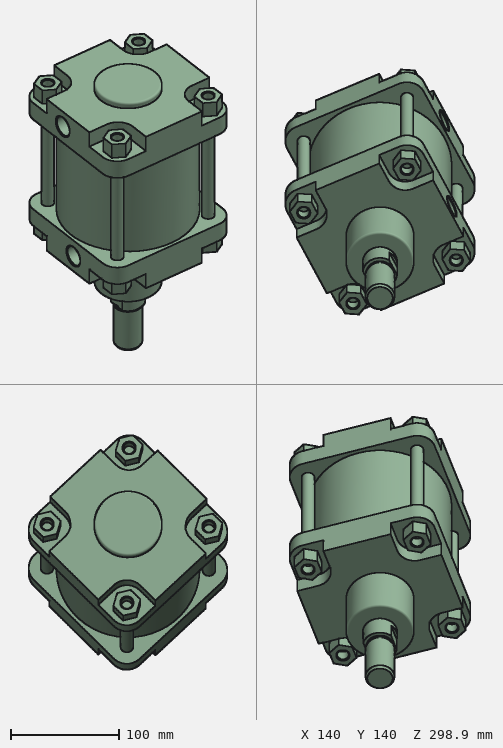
import cadquery as cq
import math


COVER_SIDE = 140.0
TIE_ROD_OFFSET = 53.0
COVER_CORNER_RADIUS = COVER_SIDE / 2 - TIE_ROD_OFFSET
FLANGE_THICKNESS = 19.0
NOTCH_DEPTH = 16.5
COVER_THICKNESS = FLANGE_THICKNESS + NOTCH_DEPTH
NOTCH_INNER_OFFSET = 32.5
NOTCH_FILLET = 17.0

BOSS_DIAMETER = 62.8
BOSS_ROUNDING = 2.0
FRONT_BOSS_LENGTH = 49.0
REAR_BOSS_LENGTH = 6.0

PORT_DIAMETER = 19.5
PORT_CHAMFER = 1.0
PORT_DEPTH = 33.0
PORT_OFFSET = 8.0
PORT_FROM_OUTER_FACE = 17.3

BARREL_DIAMETER = 132.8
BARREL_LENGTH = 103.2

TIE_ROD_DIAMETER = 12.0
NUT_ACROSS_FLATS = 22.5
NUT_ACROSS_CORNERS = NUT_ACROSS_FLATS / math.cos(math.pi / 6)
NUT_HEIGHT = 15.5
NUT_BORE_DIAMETER = 10.8
NUT_BORE_CHAMFER = 1.0
NUT_BORE_DEPTH = 12.0

COLLAR_DIAMETER = 32.0
FLATS_WIDTH = 27.0
THREAD_DIAMETER = 27.0
NECK_DIAMETER = 25.0
THREAD_TOP = 45.5
NECK_LENGTH = 3.0
FLATS_LENGTH = 15.2
ROUND_COLLAR_LENGTH = 6.0
TIP_CHAMFER_HEIGHT = 2.7
TIP_CHAMFER_WIDTH = 1.8

COLLAR_BOTTOM = THREAD_TOP + NECK_LENGTH
ROD_TOP = COLLAR_BOTTOM + FLATS_LENGTH + ROUND_COLLAR_LENGTH
FRONT_COVER_OUTER = ROD_TOP + FRONT_BOSS_LENGTH
BARREL_BOTTOM = FRONT_COVER_OUTER + COVER_THICKNESS
BARREL_TOP = BARREL_BOTTOM + BARREL_LENGTH

CORNER_SIGNS = [(x, y) for x in (-1, 1) for y in (-1, 1)]


def chamfered_hole_cutter(diameter, depth, chamfer):
    """Hole cutter that opens upward at z = 0 and widens at the mouth."""
    radius = diameter / 2
    return (
        cq.Workplane("XZ")
        .moveTo(0, 0)
        .lineTo(radius + chamfer, 0)
        .lineTo(radius, -chamfer)
        .lineTo(radius, -depth)
        .lineTo(0, -depth)
        .close()
        .revolve(360, (0, 0), (0, 1))
    )


def make_cover(boss_length, port_x):
    """End cover with its inner face at z = 0 and its boss pointing up."""
    cover = (
        cq.Workplane("XY")
        .rect(COVER_SIDE, COVER_SIDE)
        .extrude(COVER_THICKNESS)
        .edges("|Z")
        .fillet(COVER_CORNER_RADIUS)
    )

    notch_side = COVER_SIDE - 2 * NOTCH_INNER_OFFSET
    notches = (
        cq.Workplane("XY", origin=(0, 0, FLANGE_THICKNESS))
        .pushPoints([(x * COVER_SIDE / 2, y * COVER_SIDE / 2) for x, y in CORNER_SIGNS])
        .rect(notch_side, notch_side)
        .extrude(NOTCH_DEPTH)
        .edges("|Z")
        .fillet(NOTCH_FILLET)
    )
    cover = cover.cut(notches)

    boss = (
        cq.Workplane("XY", origin=(0, 0, COVER_THICKNESS))
        .circle(BOSS_DIAMETER / 2)
        .extrude(boss_length)
        .faces(">Z")
        .edges()
        .fillet(BOSS_ROUNDING)
    )
    cover = cover.union(boss)

    tie_rod_holes = (
        cq.Workplane("XY")
        .pushPoints([(x * TIE_ROD_OFFSET, y * TIE_ROD_OFFSET) for x, y in CORNER_SIGNS])
        .circle(TIE_ROD_DIAMETER / 2)
        .extrude(FLANGE_THICKNESS)
    )
    cover = cover.cut(tie_rod_holes)

    port = chamfered_hole_cutter(PORT_DIAMETER, PORT_DEPTH, PORT_CHAMFER)
    port = port.rotate((0, 0, 0), (1, 0, 0), 90)
    port_z = COVER_THICKNESS - PORT_FROM_OUTER_FACE
    return cover.cut(port.translate((port_x, -COVER_SIDE / 2, port_z)))


def make_rear_cover():
    """Upper cover with a short boss, its port left of the axis."""
    return make_cover(REAR_BOSS_LENGTH, -PORT_OFFSET).translate((0, 0, BARREL_TOP))


def make_front_cover():
    """Cover turned over about Y, so its port stays in the -Y face on the other side of the axis."""
    cover = make_cover(FRONT_BOSS_LENGTH, -PORT_OFFSET)
    return cover.rotate((0, 0, 0), (0, 1, 0), 180).translate((0, 0, BARREL_BOTTOM))


def make_barrel():
    """Plain round barrel between the two covers."""
    return (
        cq.Workplane("XY", origin=(0, 0, BARREL_BOTTOM))
        .circle(BARREL_DIAMETER / 2)
        .extrude(BARREL_LENGTH)
    )


def make_nut():
    """Bored hexagonal nut standing on z = 0, with corners on the X axis."""
    nut = (
        cq.Workplane("XY")
        .polygon(6, NUT_ACROSS_CORNERS)
        .extrude(NUT_HEIGHT)
    )
    bore = chamfered_hole_cutter(NUT_BORE_DIAMETER, NUT_BORE_DEPTH, NUT_BORE_CHAMFER)
    return nut.cut(bore.translate((0, 0, NUT_HEIGHT)))


def make_tie_rod(x, y):
    """Tie rod through both flanges, in one piece with its two nuts."""
    bottom_seat = BARREL_BOTTOM - FLANGE_THICKNESS
    top_seat = BARREL_TOP + FLANGE_THICKNESS
    shank = (
        cq.Workplane("XY", origin=(0, 0, bottom_seat))
        .circle(TIE_ROD_DIAMETER / 2)
        .extrude(top_seat - bottom_seat)
    )
    top_nut = make_nut().translate((0, 0, top_seat))
    bottom_nut = make_nut().rotate((0, 0, 0), (1, 0, 0), 180).translate((0, 0, bottom_seat))
    return shank.union(top_nut).union(bottom_nut).translate((x, y, 0))


def make_piston_rod():
    """Stepped rod end that meets the front boss, with two wrench flats on its collar."""
    thread_radius = THREAD_DIAMETER / 2
    rod = (
        cq.Workplane("XZ")
        .moveTo(0, 0)
        .lineTo(thread_radius - TIP_CHAMFER_WIDTH, 0)
        .lineTo(thread_radius, TIP_CHAMFER_HEIGHT)
        .lineTo(thread_radius, THREAD_TOP)
        .lineTo(NECK_DIAMETER / 2, THREAD_TOP)
        .lineTo(NECK_DIAMETER / 2, COLLAR_BOTTOM)
        .lineTo(COLLAR_DIAMETER / 2, COLLAR_BOTTOM)
        .lineTo(COLLAR_DIAMETER / 2, ROD_TOP)
        .lineTo(0, ROD_TOP)
        .close()
        .revolve(360, (0, 0), (0, 1))
    )
    flat_cutters = (
        cq.Workplane("XY", origin=(0, 0, COLLAR_BOTTOM))
        .pushPoints([(0, side * (FLATS_WIDTH + COLLAR_DIAMETER) / 2) for side in (-1, 1)])
        .rect(COLLAR_DIAMETER, COLLAR_DIAMETER)
        .extrude(FLATS_LENGTH)
    )
    return rod.cut(flat_cutters)


rear_cover = make_rear_cover()
front_cover = make_front_cover()
barrel = make_barrel()
piston_rod = make_piston_rod()
tie_rods = [
    make_tie_rod(x * TIE_ROD_OFFSET, y * TIE_ROD_OFFSET)
    for x, y in CORNER_SIGNS
]

result = cq.Compound.makeCompound([
    rear_cover.val(),
    front_cover.val(),
    barrel.val(),
    piston_rod.val(),
    *[tie_rod.val() for tie_rod in tie_rods],
])